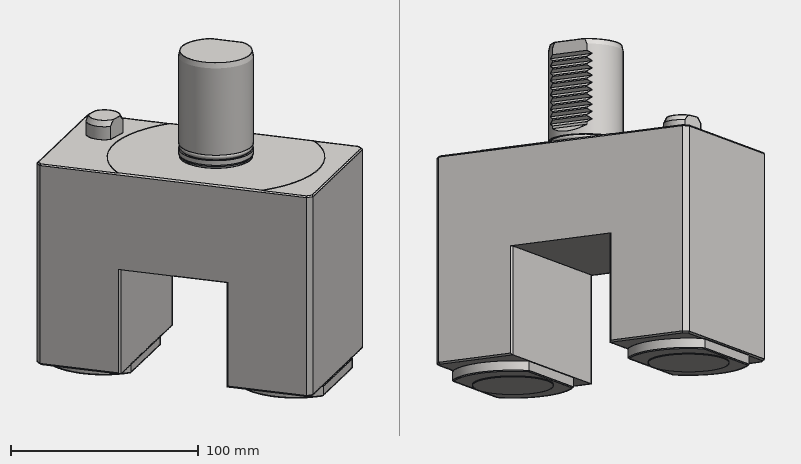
import cadquery as cq
import math


block_length = 156.0
block_width = 84.0
total_height = 180.0
shank_height = 60.1
foot_height = 6.1

block_height = total_height - shank_height - foot_height
block_center_x = -9.2
corner_chamfer = 2.7
edge_chamfer = 0.9
slot_width = 60.0
slot_height = block_height - 54.4
slot_chamfer = 1.0
mount_diameter = 116.0
mount_step = 0.2

foot_diameter = 66.5
foot_width = 47.5
foot_chamfer = 0.5
pad_diameter = 43.2
pad_height = 0.5
foot_offset_x = (block_length - foot_width) / 2

shank_diameter = 40.0
tip_chamfer_height = 3.0
tip_chamfer_depth = 0.7
neck_diameter = 39.0
neck_height = 1.5
undercut_diameter = 36.5
undercut_height = 0.5
neck_chamfer_height = 0.9

flat_distance = 17.0
flat_bottom = 13.1
tooth_count = 10
tooth_pitch = 4.0
tooth_depth = 1.6
first_tooth_height = 51.8

ring_section = 3.0
ring_center_diameter = 36.5
ring_height = 6.5
groove_floor_diameter = ring_center_diameter - ring_section

pin_diameter = 20.0
pin_height = 10.3
pin_width = 15.5
pin_distance = 70.0
pin_angle = 167.6
pin_chamfer_height = 3.0
pin_chamfer_depth = 1.6


def make_block():
    """Chamfered block with a slot through its underside."""
    block = (
        cq.Workplane("XY")
        .box(block_length, block_width, block_height, centered=(True, True, False))
        .edges("|Z").chamfer(corner_chamfer)
        .faces("<Z or >Z").edges().chamfer(edge_chamfer)
    )
    slot = cq.Workplane("XY").box(slot_width, block_width, slot_height, centered=(True, True, False))
    half_slot = slot_width / 2
    half_width = block_width / 2
    for side in (-1, 1):
        flare = (
            cq.Workplane("XY")
            .polyline([
                (-half_slot - slot_chamfer, side * half_width),
                (half_slot + slot_chamfer, side * half_width),
                (half_slot, side * (half_width - slot_chamfer)),
                (-half_slot, side * (half_width - slot_chamfer)),
            ])
            .close()
            .extrude(slot_height)
        )
        slot = slot.union(flare)
    return block.cut(slot).translate((block_center_x, 0, -block_height))


def make_mount_relief():
    """Thin layer removed around the round mounting face."""
    return (
        cq.Workplane("XY", origin=(0, 0, -mount_step))
        .rect(3 * block_length, 3 * block_width)
        .circle(mount_diameter / 2)
        .extrude(mount_step)
    )


def make_foot():
    """Disc with two flats and a round centre pad, its top at Z = 0."""
    disc_height = foot_height - pad_height
    disc = (
        cq.Workplane("XY")
        .circle(foot_diameter / 2).extrude(-disc_height)
        .intersect(cq.Workplane("XY").box(foot_width, foot_diameter, 2 * foot_height))
        .faces("<Z").edges().chamfer(foot_chamfer)
    )
    pad = cq.Workplane("XY").circle(pad_diameter / 2).extrude(-foot_height)
    return disc.union(pad)


def make_shank():
    """Revolved shank with an undercut and necked base, a ring groove and a tapered tip."""
    radius = shank_diameter / 2
    groove_radius = groove_floor_diameter / 2
    groove_bottom = ring_height - ring_section / 2
    groove_top = ring_height + ring_section / 2
    profile = [
        (0, 0),
        (undercut_diameter / 2, 0),
        (undercut_diameter / 2, undercut_height),
        (neck_diameter / 2, undercut_height),
        (neck_diameter / 2, neck_height),
        (radius, neck_height + neck_chamfer_height),
        (radius, groove_bottom),
        (groove_radius, groove_bottom),
        (groove_radius, groove_top),
        (radius, groove_top),
        (radius, shank_height - tip_chamfer_height),
        (radius - tip_chamfer_depth, shank_height),
        (0, shank_height),
    ]
    shank = cq.Workplane("XZ").polyline(profile).close().revolve(360, (0, 0), (0, 1))
    return shank.cut(make_toothed_flat())


def make_toothed_flat():
    """Material removed from the shank: a flat with a 45 degree run-out and V notches."""
    reach = 2 * (shank_diameter / 2 - flat_distance)
    outer = flat_distance + reach
    profile = [
        (flat_distance, flat_bottom),
        (outer, flat_bottom - reach),
        (outer, shank_height),
        (flat_distance, shank_height),
    ]
    for index in range(tooth_count):
        height = first_tooth_height - index * tooth_pitch
        profile.append((flat_distance, height + tooth_depth))
        profile.append((flat_distance - tooth_depth, height))
        profile.append((flat_distance, height - tooth_depth))
    return cq.Workplane("YZ").polyline(profile).close().extrude(shank_diameter / 2, both=True)


def make_locating_pin():
    """Tapered round pin with two flats, standing on the relieved block face."""
    height = pin_height + mount_step
    radius = pin_diameter / 2
    profile = [
        (0, 0),
        (radius, 0),
        (radius, height - pin_chamfer_height),
        (radius - pin_chamfer_depth, height),
        (0, height),
    ]
    pin = (
        cq.Workplane("XZ").polyline(profile).close().revolve(360, (0, 0), (0, 1))
        .intersect(cq.Workplane("XY").box(pin_width, pin_diameter, 2 * height))
        .rotate((0, 0, 0), (0, 0, 1), pin_angle)
    )
    angle = math.radians(pin_angle)
    return pin.translate((pin_distance * math.cos(angle), pin_distance * math.sin(angle), -mount_step))


def make_holder():
    """Block, feet, shank and locating pin in one solid."""
    holder = make_block().cut(make_mount_relief())
    for side in (-1, 1):
        foot_x = block_center_x + side * foot_offset_x
        holder = holder.union(make_foot().translate((foot_x, 0, -block_height)))
    return holder.union(make_shank()).union(make_locating_pin())


def make_sealing_ring():
    """Round-section ring seated in the shank groove."""
    return (
        cq.Workplane("XZ")
        .center(ring_center_diameter / 2, ring_height)
        .circle(ring_section / 2)
        .revolve(360, (-ring_center_diameter / 2, 0), (-ring_center_diameter / 2, 1))
    )


holder = make_holder()
sealing_ring = make_sealing_ring()

result = cq.Compound.makeCompound([holder.val(), sealing_ring.val()])